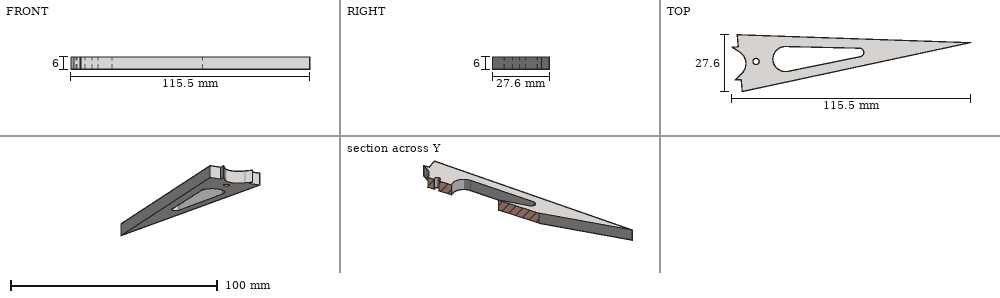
import cadquery as cq
import math

thickness = 6.0
tilt_angle = 5.08

wedge_length = 112.2
base_width = 27.68

tooth_height = 3.0
tooth_offset = 8.0

notch_radius = 6.7
notch_depth = 3.0
notch_shift = 0.1

hole_diameter = 2.9
hole_distance = 8.0
hole_shift = 0.1

window_large_radius = 6.0
window_large_center = 22.2
window_small_radius = 2.0
window_small_center = 58.2


def wedge_plate():
    """Triangular plate with the toothed, notched base edge."""
    half_base = base_width / 2
    notch_center = notch_depth - notch_radius
    notch_half_width = math.sqrt(notch_radius**2 - notch_center**2)
    return (
        cq.Workplane("XY")
        .moveTo(wedge_length, 0)
        .lineTo(0, half_base)
        .lineTo(0, tooth_offset)
        .lineTo(-tooth_height, tooth_offset)
        .lineTo(0, notch_shift + notch_half_width)
        .threePointArc((notch_depth, notch_shift), (0, notch_shift - notch_half_width))
        .lineTo(-tooth_height, -tooth_offset)
        .lineTo(0, -tooth_offset)
        .lineTo(0, -half_base)
        .close()
        .extrude(thickness)
    )


def pin_hole():
    """Cylinder that cuts the through hole behind the notch."""
    return cq.Workplane("XY").center(hole_distance, hole_shift).circle(hole_diameter / 2).extrude(thickness)


def window():
    """Cutter for the window: two end circles joined by their common tangents."""
    center_spacing = window_small_center - window_large_center
    tangent_cos = (window_large_radius - window_small_radius) / center_spacing
    tangent_sin = math.sqrt(1 - tangent_cos**2)
    large_x = window_large_center + window_large_radius * tangent_cos
    large_y = window_large_radius * tangent_sin
    small_x = window_small_center + window_small_radius * tangent_cos
    small_y = window_small_radius * tangent_sin
    return (
        cq.Workplane("XY")
        .moveTo(large_x, large_y)
        .threePointArc((window_large_center - window_large_radius, 0), (large_x, -large_y))
        .lineTo(small_x, -small_y)
        .threePointArc((window_small_center + window_small_radius, 0), (small_x, small_y))
        .close()
        .extrude(thickness)
    )


plate = wedge_plate().cut(pin_hole()).cut(window())
result = plate.rotate((0, 0, 0), (0, 0, 1), tilt_angle)